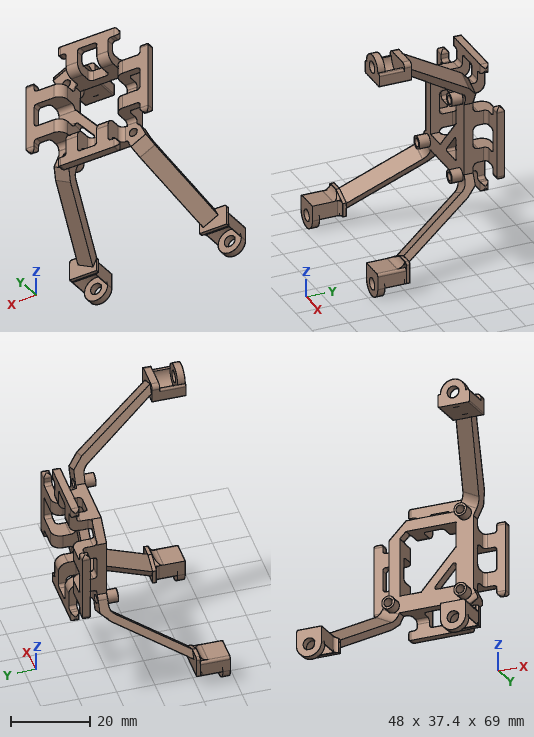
import cadquery as cq
import math


plate_thickness = 2.5
plate_left, plate_right = -11.15, 12.3
plate_bottom, plate_top = -13.0, 12.05
corner_left, corner_below = 4.75, 4.65
left_bar, right_bar = 3.0, 4.85
bottom_bar, top_bar = 4.6, 2.95
window_left, window_right = plate_left + left_bar, plate_right - right_bar
window_bottom, window_top = plate_bottom + bottom_bar, plate_top - top_bar
cut_corner_x = plate_left + corner_left
cut_corner_z = plate_top - corner_below
brace_low_x, brace_high_z = -2.25, 2.35
brace_slope = (brace_high_z - window_bottom) / (window_right - brace_low_x)
triangle_left = 1.0
triangle_top = window_bottom + brace_slope * (window_right - triangle_left)
triangle_round = 0.5

standoff_x, standoff_z = 10.0, 11.0
standoff_diameter, standoff_bore, standoff_length = 3.5, 2.3, 3.0

rail_thickness, rail_width = 2.1, 2.5
rail_back = 8.5
rail_front = rail_back - rail_thickness
rail_end_round = 1.04
side_rail_inner, side_rail_half_length = 15.8, 10.2
side_arm_inner, side_arm_outer = 3.33, 7.26
end_rail_inner, end_rail_half_length = 15.55, 9.05
end_arm_inner, end_arm_outer = 2.87, 6.3
arm_cove = 0.8
elbow_cove, elbow_round = 1.0, 2.5
thin_stem_flare, thick_stem_flare = 1.0, 1.4

foot_x, foot_z = 20.0, 31.0
foot_front = -28.9
lug_radius, lug_thickness, lug_bore = 3.5, 2.0, 3.2
recess_radius = 3.4
lug_back = foot_front + lug_thickness
flange_back = -20.0

lower_flange_front = flange_back - 1.0
lower_flange_inner_x = 15.4
lower_flange_top = -25.1
lower_block_top = -26.7
lower_edge_round = 0.7
lower_recess_back = -21.4
top_cove_radius, side_cove_radius = 2.2, 1.0

upper_flange_front = flange_back - 2.0
upper_left, upper_right = 15.8, 24.55
upper_flange_top, upper_flange_round = 32.55, 1.2
upper_bottom = 27.45
upper_edge_round, upper_bottom_round = 0.5, 0.3

leg_width = 5.0
leg_bend_radius = 3.5
lower_leg_bend, lower_leg_heel, lower_leg_toe = 3.3, 3.35, 5.9
lower_leg_lean = 0.68
upper_leg_bend, upper_leg_heel, upper_leg_toe = 3.87, 3.9, 7.1
upper_leg_back_lean, upper_leg_front_lean = 0.757, 0.785


def block(x0, x1, y0, y1, z0, z1):
    """Box between the given limits along each axis."""
    return cq.Workplane("XY").box(x1 - x0, y1 - y0, z1 - z0, centered=False).translate((x0, y0, z0))


def rod(x, z, radius, y0, y1):
    """Cylinder along Y."""
    return cq.Workplane("XZ", origin=(x, y1, z)).circle(radius).extrude(y1 - y0)


def cove(plane, a, b, radius, length):
    """Concave corner filler at the plane's origin, reaching toward the signs of a and b."""
    bulge = radius * (1 - math.sqrt(0.5))
    return (
        cq.Workplane(plane)
        .lineTo(a * radius, 0)
        .threePointArc((a * bulge, b * bulge), (0, b * radius))
        .close()
        .extrude(length)
    )


def plate_prism(points):
    """Outline in X and Z, carried through the thickness of the plate."""
    outline = cq.Workplane("XZ", origin=(0, plate_thickness, 0)).polyline(points).close()
    return outline.extrude(plate_thickness)


def make_plate():
    outer = plate_prism([
        (plate_left, plate_bottom), (plate_right, plate_bottom), (plate_right, plate_top),
        (cut_corner_x, plate_top), (plate_left, cut_corner_z),
    ])
    window = plate_prism([
        (window_left, window_bottom), (brace_low_x, window_bottom), (window_right, brace_high_z),
        (window_right, window_top), (cut_corner_x, window_top), (window_left, cut_corner_z),
    ])
    triangle = plate_prism([
        (triangle_left, window_bottom), (window_right, window_bottom), (window_right, triangle_top),
    ]).edges("|Y").fillet(triangle_round)
    return outer.cut(window).cut(triangle)


def make_bracket(edge, bar, rail_inner, half_length, arm_inner, arm_outer, flare, angle):
    """Rail on two hooked arms above a plate edge, turned about Y to the wanted side."""
    rail_box = (-half_length, half_length, rail_front, rail_back, rail_inner, rail_inner + rail_width)
    round_one_way = block(*rail_box).edges("|Y and (<X or >X)").fillet(rail_end_round)
    round_other_way = block(*rail_box).edges("|Z and (<X or >X)").fillet(rail_end_round)
    bracket = round_one_way.intersect(round_other_way)

    for side in (-1, 1):
        x0, x1 = sorted((side * arm_inner, side * arm_outer))
        stem = block(x0, x1, plate_thickness, rail_back, edge - bar, edge)
        bracket = bracket.union(stem.edges("|X and >Y and <Z").fillet(elbow_round))
        bracket = bracket.union(block(x0, x1, rail_front, rail_back, edge, rail_inner))
        elbow = cq.Plane(origin=(x0, rail_front, edge), xDir=(0, 1, 0), normal=(1, 0, 0))
        bracket = bracket.union(cove(elbow, -1, 1, elbow_cove, x1 - x0))
        for x, outward in ((x0, -1), (x1, 1)):
            at_rail = cq.Plane(origin=(x, rail_back, rail_inner), xDir=(1, 0, 0), normal=(0, -1, 0))
            bracket = bracket.union(cove(at_rail, outward, -1, arm_cove, rail_thickness))
            at_plate = cq.Plane(origin=(x, plate_thickness, edge - bar), xDir=(1, 0, 0), normal=(0, 0, 1))
            bracket = bracket.union(cove(at_plate, outward, 1, flare, bar))
    return bracket.rotate((0, 0, 0), (0, 1, 0), angle)


def leg_plane(side, up):
    """Plane through a leg (its X and Z signs given): x runs outward from the standoff, y along +Y."""
    return cq.Plane(
        origin=(side * standoff_x, 0, up * standoff_z),
        xDir=(side, 0, 2 * up),
        normal=(-2 * up, 0, side),
    )


def make_leg(side, up, bend, heel, toe, back_lean, front_lean):
    """Bent strip from a standoff down to the back of its foot."""
    plane = leg_plane(side, up)
    end = flange_back
    strip = (
        cq.Workplane(plane)
        .moveTo(0, plate_thickness)
        .lineTo(heel, plate_thickness)
        .lineTo(toe, 0)
        .lineTo(toe - back_lean * end, end)
        .lineTo(bend - front_lean * end, end)
        .lineTo(bend, 0)
        .lineTo(0, 0)
        .close()
        .extrude(leg_width / 2, both=True)
    )
    inner_bend = cq.selectors.NearestToPointSelector(plane.toWorldCoords((bend, 0, 0)).toTuple())
    strip = strip.edges(inner_bend).fillet(leg_bend_radius)
    root = rod(side * standoff_x, up * standoff_z, leg_width / 2, 0, plate_thickness)
    return strip.union(root)


def make_upper_foot():
    flange = block(upper_left, upper_right, upper_flange_front, flange_back, upper_bottom, upper_flange_top)
    flange = flange.edges("|Y and >Z").fillet(upper_flange_round)
    base = block(upper_left, upper_right, foot_front, upper_flange_front, upper_bottom, foot_z)
    base = base.edges("|Y and >Z").fillet(upper_edge_round)
    foot = flange.union(base).edges("|Y and <Z").fillet(upper_bottom_round)
    foot = foot.cut(rod(foot_x, foot_z, recess_radius, lug_back, upper_flange_front))
    foot = foot.union(rod(foot_x, foot_z, lug_radius, foot_front, lug_back))
    return foot.cut(rod(foot_x, foot_z, lug_bore / 2, foot_front, lug_back))


def lower_leg_path():
    """Space ahead of the lower right leg, which bevels the flange and foot in line with the leg end."""
    leg_end = lower_leg_bend - lower_leg_lean * flange_back
    path = cq.Workplane(leg_plane(1, -1)).moveTo(0, flange_back).lineTo(leg_end, flange_back)
    path = path.lineTo(leg_end, foot_front).lineTo(0, foot_front).close()
    return path.extrude(leg_width / 2, both=True)


def make_lower_flange():
    """Right-hand flange at the end of a lower leg."""
    flange = block(
        lower_flange_inner_x, foot_x + lug_radius, lower_flange_front, flange_back, -foot_z, lower_flange_top
    )
    return flange.edges("|Y and >X and >Z").fillet(lower_edge_round).cut(lower_leg_path())


def make_lower_foot():
    """Right-hand foot block with its lug, standing on the front of the flange."""
    inner_x, outer_x = foot_x - lug_radius, foot_x + lug_radius
    foot = block(inner_x, outer_x, foot_front, lower_flange_front, -foot_z, lower_block_top)
    foot = foot.edges("|Y and >X and >Z").fillet(lower_edge_round)

    top_corner = cq.Plane(
        origin=(inner_x, lower_flange_front, lower_block_top), xDir=(0, 1, 0), normal=(1, 0, 0)
    )
    top_filler = cove(top_corner, -1, 1, top_cove_radius, 2 * lug_radius - lower_edge_round)
    below_flange_top = block(
        inner_x, outer_x, foot_front, lower_flange_front, -foot_z, lower_flange_top
    )
    foot = foot.union(top_filler.intersect(below_flange_top))

    side_corner = cq.Plane(origin=(inner_x, lower_flange_front, -foot_z), xDir=(1, 0, 0), normal=(0, 0, 1))
    foot = foot.union(cove(side_corner, -1, -1, side_cove_radius, lower_block_top + foot_z))
    foot = foot.cut(lower_leg_path())

    foot = foot.cut(rod(foot_x, -foot_z, recess_radius, lug_back, lower_recess_back))
    foot = foot.union(rod(foot_x, -foot_z, lug_radius, foot_front, lug_back))
    return foot.cut(rod(foot_x, -foot_z, lug_bore / 2, foot_front, lug_back))


def make_frame():
    """Plate with its brackets, standoffs, legs, upper foot and lower flanges in one piece."""
    frame = make_plate()

    end_sizes = (end_rail_inner, end_rail_half_length, end_arm_inner, end_arm_outer)
    side_sizes = (side_rail_inner, side_rail_half_length, side_arm_inner, side_arm_outer)
    frame = frame.union(make_bracket(plate_top, top_bar, *end_sizes, thin_stem_flare, 0))
    frame = frame.union(make_bracket(plate_right, right_bar, *side_sizes, thick_stem_flare, 90))
    frame = frame.union(make_bracket(-plate_bottom, bottom_bar, *end_sizes, thick_stem_flare, 180))
    frame = frame.union(make_bracket(-plate_left, left_bar, *side_sizes, thin_stem_flare, 270))

    frame = frame.union(make_leg(
        1, 1, upper_leg_bend, upper_leg_heel, upper_leg_toe, upper_leg_back_lean, upper_leg_front_lean
    ))
    frame = frame.union(make_upper_foot())

    lower_flange = make_lower_flange()
    for side, flange in ((1, lower_flange), (-1, lower_flange.mirror("YZ"))):
        frame = frame.union(make_leg(
            side, -1, lower_leg_bend, lower_leg_heel, lower_leg_toe, lower_leg_lean, lower_leg_lean
        ))
        frame = frame.union(flange)

    for x, z in ((standoff_x, standoff_z), (standoff_x, -standoff_z), (-standoff_x, -standoff_z)):
        frame = frame.union(rod(x, z, standoff_diameter / 2, -standoff_length, 0))
        frame = frame.cut(rod(x, z, standoff_bore / 2, -standoff_length, plate_thickness))
    return frame


frame = make_frame()

right_foot = make_lower_foot()
lower_feet = [right_foot, right_foot.mirror("YZ")]

result = cq.Compound.makeCompound([frame.val(), *[foot.val() for foot in lower_feet]])